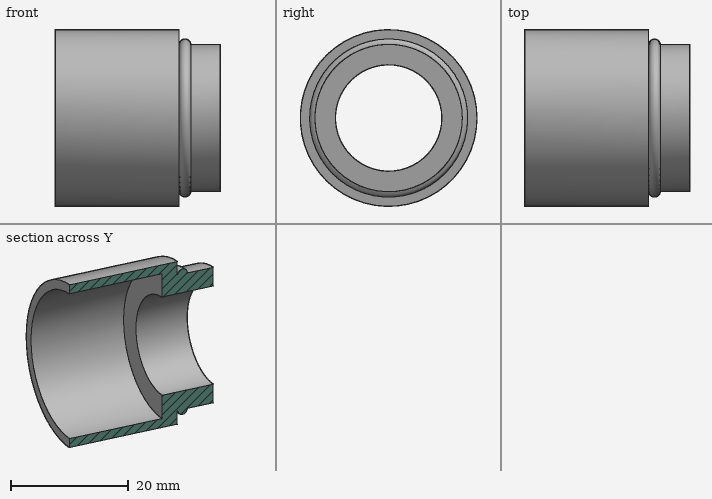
import cadquery as cq

total_length = 28.0
body_diameter = 30.0
body_length = 21.0

neck_diameter = 25.0
ring_diameter = 26.82
ring_width = 2.0

socket_diameter = 26.58
socket_depth = 18.0
bore_diameter = 18.0


def cylinder(diameter, start, end):
    """Solid cylinder on the X axis between two X positions."""
    return cq.Workplane("YZ", origin=(start, 0, 0)).circle(diameter / 2).extrude(end - start)


def ring():
    """Round-section ring around the neck, touching the body shoulder."""
    section_radius = ring_width / 2
    centre_radius = ring_diameter / 2 - section_radius
    torus = cq.Solid.makeTorus(
        centre_radius,
        section_radius,
        cq.Vector(body_length + section_radius, 0, 0),
        cq.Vector(1, 0, 0),
    )
    return cq.Workplane(torus)


body = cylinder(body_diameter, 0, body_length)
neck = cylinder(neck_diameter, body_length, total_length)
socket = cylinder(socket_diameter, 0, socket_depth)
bore = cylinder(bore_diameter, 0, total_length)

result = body.union(neck).union(ring()).cut(socket).cut(bore)